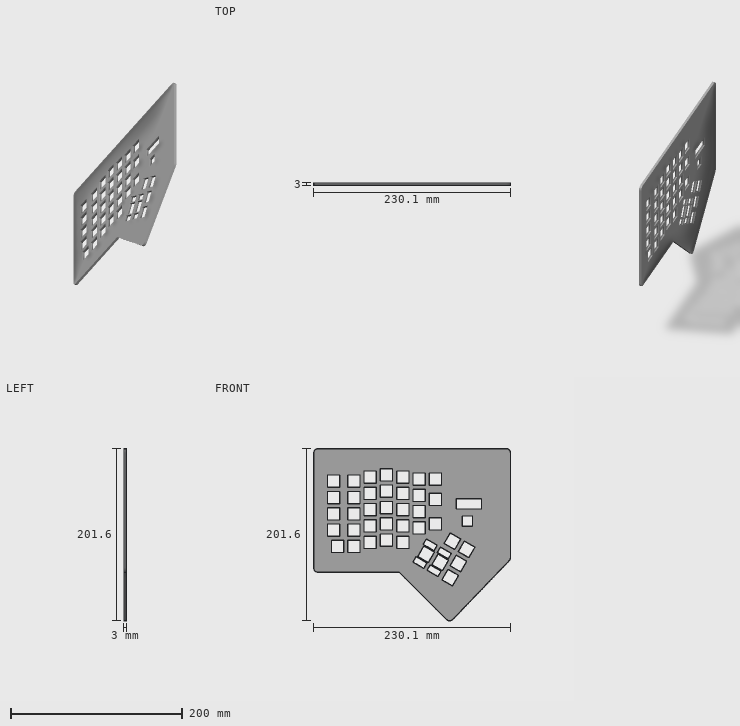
import cadquery as cq
import math


plate_width = 230.1
plate_thickness = 3.0
left_side_height = 144.7
right_side_height = 129.5
step_x = 100.0
tip_depth = 203.7
tip_x = step_x + tip_depth - left_side_height
corner_radius = 5.0

column_span = 95.3
column_count = 6
key_pitch = column_span / (column_count - 1)
key_hole = 14.0
main_column_x = 47.0
wide_key_offset = 1.25 * key_pitch
outer_row_z = -38.2

ring_row_z = -33.4
middle_row_z = -30.8
inner_row_z = -35.7

thumb_x = 169.1
thumb_z = -134.5
thumb_angle = 30.0
stabilizer_length = 14.5
stabilizer_width = 7.1
stabilizer_spacing = 12.0
stabilizer_shift = -1.4

window_length = 29.2
window_height = 11.7
window_x = 181.3
window_z = -64.7
square_window = 11.7
square_window_x = 179.7
square_window_z = -85.0


def make_plate():
    outline = [
        (0, 0),
        (plate_width, 0),
        (plate_width, -right_side_height),
        (tip_x, -tip_depth),
        (step_x, -left_side_height),
        (0, -left_side_height),
    ]
    plate = cq.Workplane("XZ").polyline(outline).close().extrude(-plate_thickness)
    through_edges = cq.selectors.ParallelDirSelector(cq.Vector(0, 1, 0))
    step_edge = cq.selectors.NearestToPointSelector((step_x, plate_thickness / 2, -left_side_height))
    return plate.edges(through_edges - step_edge).fillet(corner_radius)


def cut_rectangles(plate, centers, length, height, angle=0.0):
    """Cut one through opening of the given size and turn at each (x, z) centre."""
    openings = cq.Sketch().push(centers).rect(length, height, angle=angle)
    cutter = cq.Workplane("XZ").placeSketch(openings).extrude(-plate_thickness)
    return plate.cut(cutter)


def key_column(x, top_z, rows):
    """Centres of a column of keys; rows are counted in key pitches below the top key."""
    return [(x, top_z - row * key_pitch) for row in rows]


def finger_keys():
    """Centres of all upright keys, with the main columns listed from left to right."""
    wide_x = main_column_x - wide_key_offset
    centers = key_column(wide_x, outer_row_z, range(4))
    centers += key_column(main_column_x - key_pitch, outer_row_z, [4])
    column_layout = [
        (outer_row_z, range(5)),
        (ring_row_z, range(5)),
        (middle_row_z, range(5)),
        (ring_row_z, range(5)),
        (inner_row_z, range(4)),
        (inner_row_z, [0, 1.25, 2.75]),
    ]
    for index, (top_z, rows) in enumerate(column_layout):
        centers += key_column(main_column_x + index * key_pitch, top_z, rows)
    return centers


def thumb_point(along, up):
    """Plate position of a point given along and up the turned thumb cluster."""
    turn = math.radians(thumb_angle)
    x = thumb_x + along * math.cos(turn) + up * math.sin(turn)
    z = thumb_z - along * math.sin(turn) + up * math.cos(turn)
    return (x, z)


tall_key_columns = (-2 * key_pitch, -key_pitch)
tall_key_up = -key_pitch / 2

single_thumb_keys = [
    thumb_point(-key_pitch, key_pitch),
    thumb_point(0, key_pitch),
    thumb_point(0, 0),
    thumb_point(0, -key_pitch),
]
tall_thumb_keys = [thumb_point(along, tall_key_up) for along in tall_key_columns]
stabilizers = [
    thumb_point(along + stabilizer_shift, tall_key_up + side * stabilizer_spacing)
    for along in tall_key_columns
    for side in (-1, 1)
]

result = make_plate()
result = cut_rectangles(result, finger_keys(), key_hole, key_hole)
result = cut_rectangles(result, single_thumb_keys + tall_thumb_keys, key_hole, key_hole, -thumb_angle)
result = cut_rectangles(result, stabilizers, stabilizer_length, stabilizer_width, -thumb_angle)
result = cut_rectangles(result, [(window_x, window_z)], window_length, window_height)
result = cut_rectangles(result, [(square_window_x, square_window_z)], square_window, square_window)